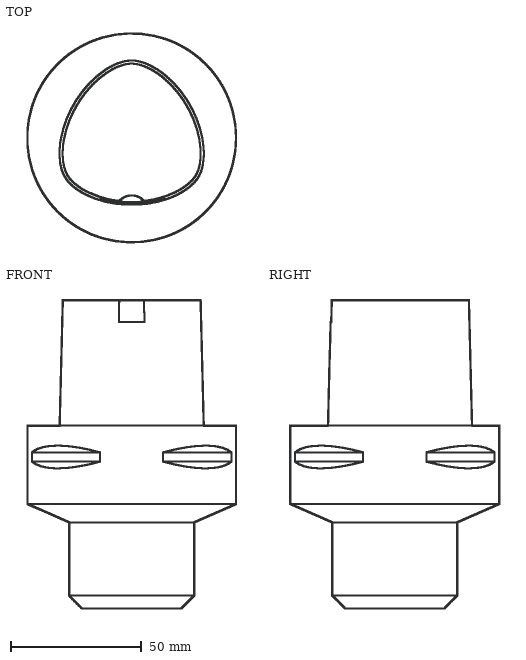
import math

import cadquery as cq

FLANGE_DIAMETER = 80.0
FLANGE_HEIGHT = 30.0
CONE_HEIGHT = 7.0
SPIGOT_DIAMETER = 48.0
SPIGOT_LENGTH = 33.0
SPIGOT_CHAMFER = 5.0

SHANK_HEIGHT = 48.0
SHANK_BASE_RADIUS = 27.6
SHANK_TAPER = 1 / 20
LOBE_COUNT = 3
LOBE_ECCENTRICITY = 2.0
LOBE_HALF_ANGLE = 33.5
POINTS_PER_FACE = 9

GROOVE_COUNT = 4
GROOVE_FIRST_ANGLE = 45.0
GROOVE_CENTRE_Z = -12.0
GROOVE_FLOOR_DISTANCE = 35.5
GROOVE_FLOOR_WIDTH = 3.5
GROOVE_WALL_ANGLE = 30.0

NOTCH_RADIUS = 6.3
NOTCH_HEIGHT = 8.4
NOTCH_INNER_Y = -22.0


def make_body():
    """Flange, cone and chamfered spigot as one turned profile."""
    flange_radius = FLANGE_DIAMETER / 2
    spigot_radius = SPIGOT_DIAMETER / 2
    cone_bottom = -FLANGE_HEIGHT - CONE_HEIGHT
    spigot_bottom = cone_bottom - SPIGOT_LENGTH
    profile = [
        (0, 0),
        (flange_radius, 0),
        (flange_radius, -FLANGE_HEIGHT),
        (spigot_radius, cone_bottom),
        (spigot_radius, spigot_bottom + SPIGOT_CHAMFER),
        (spigot_radius - SPIGOT_CHAMFER, spigot_bottom),
        (0, spigot_bottom),
    ]
    return cq.Workplane("XZ").polyline(profile).close().revolve(360, (0, 0), (0, 1))


def lobed_point(mean_radius, angle, z):
    """Point of the constant-width curve where its outward normal is at `angle` degrees from +Y."""
    turn = math.radians(angle)
    reach = mean_radius + LOBE_ECCENTRICITY * math.cos(LOBE_COUNT * turn)
    slope = -LOBE_COUNT * LOBE_ECCENTRICITY * math.sin(LOBE_COUNT * turn)
    along_x = -reach * math.sin(turn) - slope * math.cos(turn)
    along_y = reach * math.cos(turn) - slope * math.sin(turn)
    return cq.Vector(along_x, along_y, z)


def normal_tangent(angle):
    """Direction of travel along the curve where its normal is at `angle` degrees from +Y."""
    turn = math.radians(angle)
    return cq.Vector(-math.cos(turn), -math.sin(turn), 0)


def lobed_wire(mean_radius, z):
    """Closed section of the shank: a crest curve and a flank curve for each lobe."""
    lobe_pitch = 360 / LOBE_COUNT
    edges = []
    for lobe in range(LOBE_COUNT):
        crest = lobe * lobe_pitch
        seams = [crest - LOBE_HALF_ANGLE, crest + LOBE_HALF_ANGLE, crest + lobe_pitch - LOBE_HALF_ANGLE]
        for start, end in zip(seams, seams[1:]):
            step = (end - start) / (POINTS_PER_FACE - 1)
            points = [lobed_point(mean_radius, start + i * step, z) for i in range(POINTS_PER_FACE)]
            tangents = [normal_tangent(start), normal_tangent(end)]
            edges.append(cq.Edge.makeSpline(points, tangents=tangents))
    return cq.Wire.assembleEdges(edges)


def make_shank():
    top_radius = SHANK_BASE_RADIUS - SHANK_HEIGHT * SHANK_TAPER / 2
    base = lobed_wire(SHANK_BASE_RADIUS, 0)
    top = lobed_wire(top_radius, SHANK_HEIGHT)
    return cq.Workplane(cq.Solid.makeLoft([base, top], True))


def make_groove():
    """Cutter for one gripper groove on the +X side."""
    rim = FLANGE_DIAMETER / 2
    depth = rim - GROOVE_FLOOR_DISTANCE
    floor_half = GROOVE_FLOOR_WIDTH / 2
    rim_half = floor_half + depth * math.tan(math.radians(GROOVE_WALL_ANGLE))
    section = [
        (GROOVE_FLOOR_DISTANCE, GROOVE_CENTRE_Z - floor_half),
        (rim, GROOVE_CENTRE_Z - rim_half),
        (rim, GROOVE_CENTRE_Z + rim_half),
        (GROOVE_FLOOR_DISTANCE, GROOVE_CENTRE_Z + floor_half),
    ]
    return cq.Workplane("XZ").polyline(section).close().extrude(rim, both=True)


def make_notch():
    """Cutter for the round-backed orientation notch."""
    return (
        cq.Workplane("XY", origin=(0, NOTCH_INNER_Y - NOTCH_RADIUS, SHANK_HEIGHT - NOTCH_HEIGHT))
        .circle(NOTCH_RADIUS)
        .extrude(NOTCH_HEIGHT)
    )


result = make_body().union(make_shank())
for index in range(GROOVE_COUNT):
    groove_angle = GROOVE_FIRST_ANGLE + index * 360 / GROOVE_COUNT
    result = result.cut(make_groove().rotate((0, 0, 0), (0, 0, 1), groove_angle))
result = result.cut(make_notch())